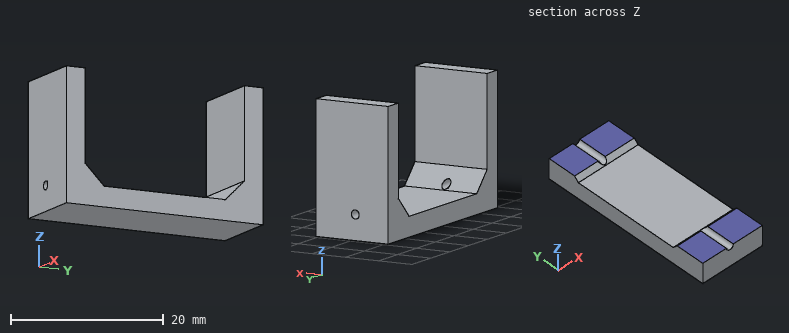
import cadquery as cq

width = 10.9
length = 29.0
height = 18.4

wall = 2.78
floor = 2.8
corner_fill = 2.78

hole_diameter = 1.2
hole_from_side = 4.95
hole_height = 3.5


def channel():
    """U-shaped channel with sloped inner corners, centred in X and Y, resting on Z = 0."""
    outer_y = length / 2
    inner_y = outer_y - wall
    floor_y = inner_y - corner_fill
    slope_top = floor + corner_fill
    outline = [
        (-outer_y, 0),
        (outer_y, 0),
        (outer_y, height),
        (inner_y, height),
        (inner_y, slope_top),
        (floor_y, floor),
        (-floor_y, floor),
        (-inner_y, slope_top),
        (-inner_y, height),
        (-outer_y, height),
    ]
    return cq.Workplane("YZ").polyline(outline).close().extrude(width / 2, both=True)


def pin_hole():
    """Cylinder along Y that crosses both end walls."""
    hole_x = hole_from_side - width / 2
    return (
        cq.Workplane("XZ")
        .center(hole_x, hole_height)
        .circle(hole_diameter / 2)
        .extrude(length, both=True)
    )


result = channel().cut(pin_hole())